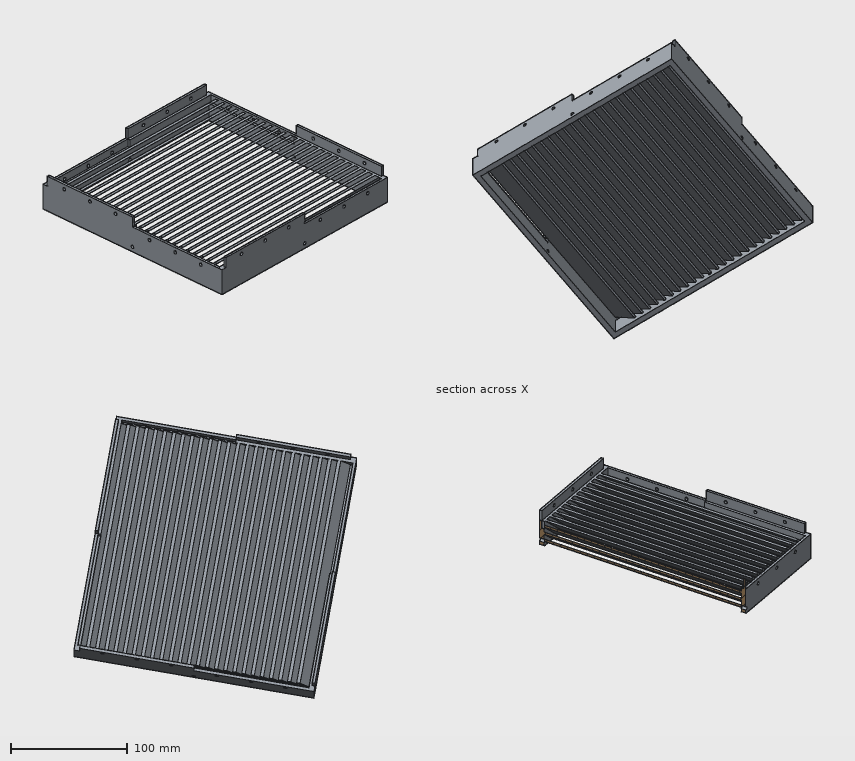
import cadquery as cq
import math

frame_size = 210.0
frame_height = 25.0
wall = 5.0
skin = wall / 2
half_size = frame_size / 2
opening = frame_size - 2 * wall
half_opening = opening / 2

tab_height = 10.0
slot_depth = 7.5
hole_diameter = 3.0
hole_drop = tab_height / 2
hole_offset = 20.0
hole_spacing = 30.0
holes_per_half = 3
drain_height = 5.0

slat_count = 25
slat_pitch = opening / slat_count
slat_thickness = 2.0
slat_length = 30.0
slat_foot_height = drain_height
slat_rise = frame_height - slat_foot_height
slat_slope = math.asin(slat_rise / slat_length)
slat_run = slat_length * math.cos(slat_slope)
slat_flat = slat_thickness / math.sin(slat_slope)


def box(x_range, y_range, z_range):
    """Block spanning the given (low, high) range on each axis."""
    sizes = [high - low for low, high in (x_range, y_range, z_range)]
    corner = (x_range[0], y_range[0], z_range[0])
    return cq.Workplane("XY").box(*sizes, centered=False).translate(corner)


def on_four_sides(feature):
    """The front (-Y) feature repeated on all four sides."""
    sides = feature
    for quarter in range(1, 4):
        sides = sides.union(feature.rotate((0, 0, 0), (0, 0, 1), 90 * quarter))
    return sides


def side_tab():
    """Upright tab, half a wall thick, flush with the outside of the left half of a side."""
    top = frame_height + tab_height
    return box((-half_opening, 0), (-half_size, -half_size + skin), (frame_height, top))


def side_slot():
    """Slot behind the outer skin of the right half of a side, open towards the inside."""
    floor = frame_height - slot_depth
    return box((0, half_opening), (-half_size + skin, -half_opening), (floor, frame_height))


def side_holes():
    """Low hole at mid-side, one row of holes in the tab and one row in the slotted half."""
    centres = [(0, drain_height)]
    for index in range(holes_per_half):
        x = hole_offset + index * hole_spacing
        centres.append((-x, frame_height + hole_drop))
        centres.append((x, frame_height - hole_drop))
    plane = cq.Workplane("XZ", origin=(0, -half_size, 0))
    return plane.pushPoints(centres).circle(hole_diameter / 2).extrude(-wall)


def slat(flat_start):
    """Slat falling towards -X: its foot is square-cut and its top is flush with the frame."""
    foot_x = flat_start + slat_flat / 2 - slat_run
    foot_dx = slat_thickness / 2 * math.sin(slat_slope)
    foot_dz = slat_thickness / 2 * math.cos(slat_slope)
    profile = [
        (flat_start, frame_height),
        (flat_start + slat_flat, frame_height),
        (foot_x + foot_dx, slat_foot_height - foot_dz),
        (foot_x - foot_dx, slat_foot_height + foot_dz),
    ]
    plane = cq.Workplane("XZ", origin=(0, half_opening, 0))
    return plane.polyline(profile).close().extrude(opening)


def slats():
    """All slats, trimmed by the outer -X face and by the inner +X wall."""
    limits = box((-half_size, half_opening), (-half_opening, half_opening), (0, frame_height))
    row = cq.Workplane("XY")
    for index in range(1, slat_count + 1):
        trimmed = slat(-half_opening + index * slat_pitch).intersect(limits)
        row = row.add(trimmed)
    return row.combine()


frame = cq.Workplane("XY").rect(frame_size, frame_size).rect(opening, opening).extrude(frame_height)
frame = frame.union(on_four_sides(side_tab()))
frame = frame.cut(on_four_sides(side_slot()))
result = frame.union(slats()).cut(on_four_sides(side_holes()))